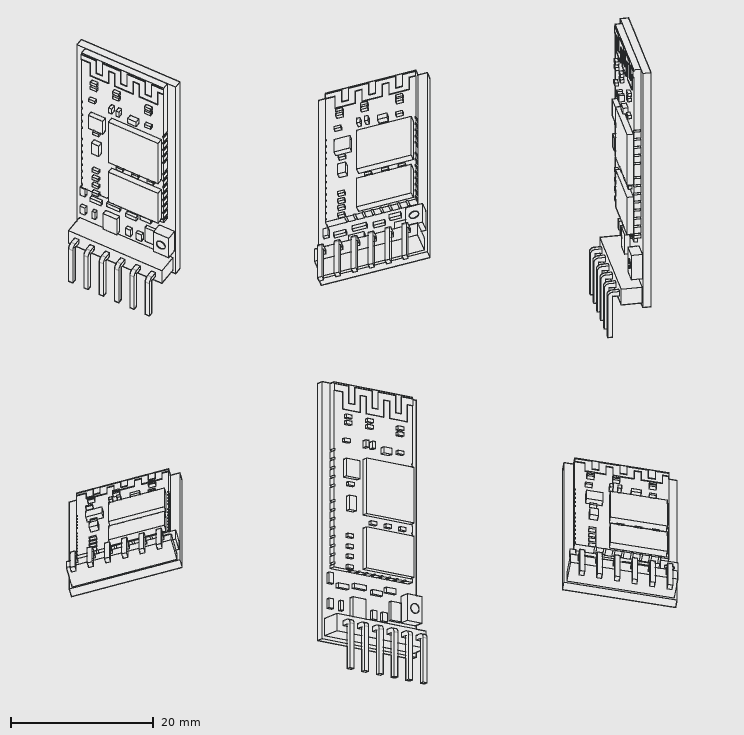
import cadquery as cq


BOARD_WIDTH = 16.1
BOARD_LENGTH = 37.5
BOARD_THICKNESS = 1.2
BOARD_FACE = -BOARD_THICKNESS

MODULE_WIDTH = 13.4
MODULE_LENGTH = 27.0
MODULE_THICKNESS = 1.0
MODULE_SETBACK = 0.05
MODULE_TOP = BOARD_LENGTH - MODULE_SETBACK
MODULE_BOTTOM = MODULE_TOP - MODULE_LENGTH
MODULE_FACE = BOARD_FACE - MODULE_THICKNESS

NOTCH_RADIUS = 0.15
NOTCH_PITCH = 1.3
UPPER_NOTCH_COUNT = 5
UPPER_NOTCH_DROP = 9.85
LOWER_NOTCH_COUNT = 8
LOWER_NOTCH_DROP = 17.3
BOTTOM_NOTCH_COUNT = 8
BOTTOM_NOTCH_X = -3.7

TRACE_WIDTH = 1.0
TRACE_THICKNESS = 0.1
TRACE_SETBACK = 0.25
TRACE_TOP = MODULE_TOP - TRACE_SETBACK
TRACE_HEIGHT = 3.5
MEANDER_COUNT = 3
MEANDER_START = -5.25
MEANDER_PITCH = 4.0
MEANDER_LOOP_WIDTH = 3.0

LOW_HEIGHT = 0.5
MEDIUM_HEIGHT = 0.75
CHIP_HEIGHT = 0.9

SMALL_LENGTH = 1.0
SMALL_WIDTH = 0.5
SMALL_FLAT_CENTRES = [
    (-4.48, 32.68),
    (-4.48, 31.77),
    (-0.84, 32.68),
    (-0.84, 31.80),
    (4.36, 32.46),
    (4.36, 31.62),
    (-4.75, 29.15),
    (4.36, 28.90),
    (-4.11, 22.90),
    (-0.25, 17.83),
    (2.28, 17.83),
    (4.75, 17.83),
    (-4.22, 15.35),
    (-4.22, 13.80),
    (-4.22, 12.35),
    (-4.22, 10.80),
]
SMALL_UPRIGHT_CENTRES = [(-1.57, 29.15), (-0.39, 29.15)]

MODULE_MEDIUM_PARTS = [
    (1.96, 28.70, 1.4, 0.9),
    (-3.97, 25.10, 2.35, 2.6),
    (-4.04, 20.05, 1.2, 2.1),
]
MODULE_CHIPS = [
    (2.27, 22.90, 8.1, 8.1),
    (2.27, 13.92, 8.1, 6.0),
]
BOARD_LOW_PARTS = [
    (-6.84, 8.97, 0.8, 1.55),
    (-4.75, 8.12, 1.8, 0.65),
    (-1.87, 8.51, 2.1, 0.65),
    (1.05, 8.12, 1.7, 0.65),
    (3.40, 8.83, 1.7, 0.75),
    (-6.84, 5.25, 0.8, 1.4),
    (-5.01, 5.25, 0.5, 1.4),
    (0.59, 4.80, 0.8, 1.3),
    (2.34, 4.80, 0.9, 1.3),
    (4.24, 5.91, 1.8, 2.75),
]
BOARD_MEDIUM_PARTS = [(-2.21, 5.19, 2.25, 3.1)]

BUTTON_X = 6.64
BUTTON_Z = 6.5
BUTTON_WIDTH = 2.5
BUTTON_LENGTH = 3.9
BUTTON_HEIGHT = 1.6
PLUNGER_RADIUS = 0.7
PLUNGER_HEIGHT = 0.1

PIN_COUNT = 6
PIN_PITCH = 2.5
PIN_SIZE = 0.7
PIN_OVERHANG = 5.1
PIN_REACH = 4.7
HEADER_WIDTH = 15.24
HEADER_LENGTH = 2.54
HEADER_HEIGHT = 3.0
HEADER_MARGIN = 0.5
HEADER_Z = HEADER_MARGIN + HEADER_LENGTH / 2


def block(face, x, z, width, length, height):
    """A box centred at (x, z) that rises by height towards -Y from the plane y = face."""
    return cq.Workplane("XY").box(width, height, length).translate((x, face - height / 2, z))


def round_post(face, x, z, radius, height):
    """A cylinder along Y that rises by height towards -Y from the plane y = face."""
    return cq.Workplane("XZ", origin=(x, face, z)).circle(radius).extrude(height)


def make_board():
    return block(0, 0, BOARD_LENGTH / 2, BOARD_WIDTH, BOARD_LENGTH, BOARD_THICKNESS)


def notch_centres():
    """Notch centres on both long edges and the lower edge of the module."""
    heights = [MODULE_TOP - UPPER_NOTCH_DROP - i * NOTCH_PITCH for i in range(UPPER_NOTCH_COUNT)]
    heights += [MODULE_TOP - LOWER_NOTCH_DROP - i * NOTCH_PITCH for i in range(LOWER_NOTCH_COUNT)]
    centres = [(side * MODULE_WIDTH / 2, z) for side in (-1, 1) for z in heights]
    for i in range(BOTTOM_NOTCH_COUNT):
        centres.append((BOTTOM_NOTCH_X + i * NOTCH_PITCH, MODULE_BOTTOM))
    return centres


def make_module():
    middle = (MODULE_BOTTOM + MODULE_TOP) / 2
    module = block(BOARD_FACE, 0, middle, MODULE_WIDTH, MODULE_LENGTH, MODULE_THICKNESS)
    notches = (
        cq.Workplane("XZ", origin=(0, BOARD_FACE, 0))
        .pushPoints(notch_centres())
        .circle(NOTCH_RADIUS)
        .extrude(MODULE_THICKNESS)
    )
    return module.cut(notches)


def make_antenna():
    """Square-wave trace: its upper and lower sides joined at both module edges."""
    bottom = TRACE_TOP - TRACE_HEIGHT
    edge = MODULE_WIDTH / 2
    upper = [(-edge, TRACE_TOP)]
    lower = [(-edge, TRACE_TOP - TRACE_WIDTH)]
    for i in range(MEANDER_COUNT):
        left = MEANDER_START + i * MEANDER_PITCH
        right = left + MEANDER_LOOP_WIDTH
        upper += [
            (left + TRACE_WIDTH, TRACE_TOP),
            (left + TRACE_WIDTH, bottom + TRACE_WIDTH),
            (right - TRACE_WIDTH, bottom + TRACE_WIDTH),
            (right - TRACE_WIDTH, TRACE_TOP),
        ]
        lower += [
            (left, TRACE_TOP - TRACE_WIDTH),
            (left, bottom),
            (right, bottom),
            (right, TRACE_TOP - TRACE_WIDTH),
        ]
    upper.append((edge, TRACE_TOP))
    lower.append((edge, TRACE_TOP - TRACE_WIDTH))
    outline = upper + lower[::-1]
    plane = cq.Workplane("XZ", origin=(0, MODULE_FACE, 0))
    return plane.polyline(outline).close().extrude(TRACE_THICKNESS)


def make_module_parts():
    parts = []
    for x, z in SMALL_FLAT_CENTRES:
        parts.append(block(MODULE_FACE, x, z, SMALL_LENGTH, SMALL_WIDTH, LOW_HEIGHT))
    for x, z in SMALL_UPRIGHT_CENTRES:
        parts.append(block(MODULE_FACE, x, z, SMALL_WIDTH, SMALL_LENGTH, MEDIUM_HEIGHT))
    for x, z, width, length in MODULE_MEDIUM_PARTS:
        parts.append(block(MODULE_FACE, x, z, width, length, MEDIUM_HEIGHT))
    for x, z, width, length in MODULE_CHIPS:
        parts.append(block(MODULE_FACE, x, z, width, length, CHIP_HEIGHT))
    return parts


def make_board_parts():
    parts = []
    for x, z, width, length in BOARD_LOW_PARTS:
        parts.append(block(BOARD_FACE, x, z, width, length, LOW_HEIGHT))
    for x, z, width, length in BOARD_MEDIUM_PARTS:
        parts.append(block(BOARD_FACE, x, z, width, length, MEDIUM_HEIGHT))
    return parts


def make_button():
    body = block(BOARD_FACE, BUTTON_X, BUTTON_Z, BUTTON_WIDTH, BUTTON_LENGTH, BUTTON_HEIGHT)
    body_face = BOARD_FACE - BUTTON_HEIGHT
    return body.union(round_post(body_face, BUTTON_X, BUTTON_Z, PLUNGER_RADIUS, PLUNGER_HEIGHT))


def make_pin(x):
    """Square pin that leaves the header and turns down, rounded on the outside of the bend."""
    header_face = BOARD_FACE - HEADER_HEIGHT
    tip_face = BOARD_FACE - PIN_REACH
    top = HEADER_Z + PIN_SIZE / 2
    under = top - PIN_SIZE
    inner = tip_face + PIN_SIZE
    return (
        cq.Workplane("YZ", origin=(x - PIN_SIZE / 2, 0, 0))
        .moveTo(header_face, top)
        .lineTo(inner, top)
        .radiusArc((tip_face, under), -PIN_SIZE)
        .lineTo(tip_face, -PIN_OVERHANG)
        .lineTo(inner, -PIN_OVERHANG)
        .lineTo(inner, under)
        .lineTo(header_face, under)
        .close()
        .extrude(PIN_SIZE)
    )


def make_header():
    header = block(BOARD_FACE, 0, HEADER_Z, HEADER_WIDTH, HEADER_LENGTH, HEADER_HEIGHT)
    for i in range(PIN_COUNT):
        header = header.union(make_pin((i - (PIN_COUNT - 1) / 2) * PIN_PITCH))
    return header


result = make_board().union(make_module()).union(make_antenna())
for part in make_module_parts() + make_board_parts():
    result = result.union(part)
result = result.union(make_button()).union(make_header())